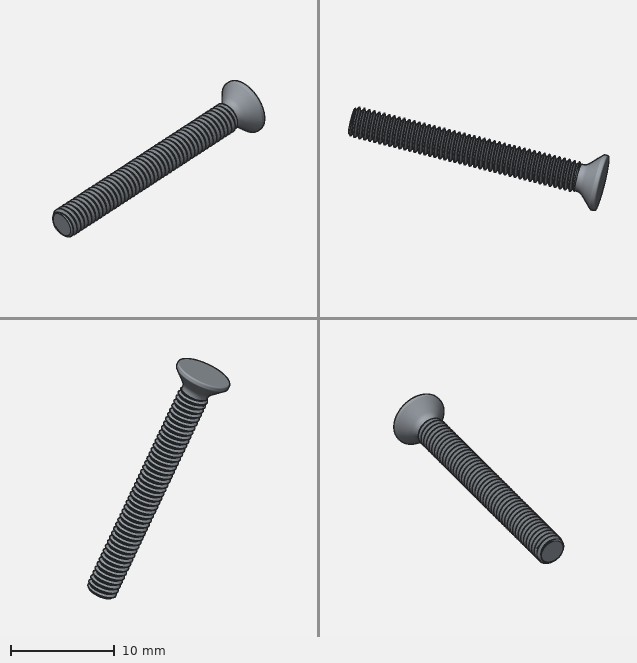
import cadquery as cq
import math


length = 25.0

head_radius = 2.75
cone_angle = math.radians(45)
rim_height = 0.45
top_fillet = 0.15
rim_fillet = 0.12

thread_radius = 1.5
root_radius = 1.2
pitch = 0.5
flank_angle = math.radians(30)
crest_flat = pitch / 8
root_overlap = 0.05
tip_radius = 1.22
bevel_reach = 0.75
turns = 47
last_crest = 25.38
first_crest = last_crest - turns * pitch

triangle_height = pitch * math.sqrt(3) / 2
neck_radius = thread_radius - 3 / 8 * triangle_height
neck_fillet = 0.85
thread_start = 2.38

cone_end = rim_height + (head_radius - neck_radius) / math.tan(cone_angle)


def head_and_neck():
    """Flat head with a rounded rim, a 45 degree cone and a filleted neck."""
    tangent = neck_fillet * math.tan(cone_angle / 2)
    cone_rise = tangent * math.sin(cone_angle)
    cone_drop = tangent * math.cos(cone_angle)
    middle_turn = cone_angle / 2
    arc_center_height = cone_end + tangent
    arc_middle = (
        neck_radius + neck_fillet * (1 - math.cos(middle_turn)),
        arc_center_height - neck_fillet * math.sin(middle_turn),
    )
    sharp_head = (
        cq.Workplane("XZ")
        .lineTo(head_radius, 0)
        .lineTo(head_radius, rim_height)
        .lineTo(neck_radius + cone_rise, cone_end - cone_drop)
        .threePointArc(arc_middle, (neck_radius, arc_center_height))
        .lineTo(neck_radius, thread_start)
        .lineTo(0, thread_start)
        .close()
        .revolve(360, (0, 0), (0, 1))
    )
    rounded_top = sharp_head.faces("<Z").edges().fillet(top_fillet)
    widest_circles = rounded_top.edges(cq.selectors.RadiusNthSelector(-1))
    return widest_circles.edges(">Z").fillet(rim_fillet)


def thread_ridge():
    """Helical ridge, longer than the thread at both ends."""
    base_radius = root_radius - root_overlap
    half_crest = crest_flat / 2
    half_base = half_crest + (thread_radius - base_radius) * math.tan(flank_angle)
    path = cq.Wire.makeHelix(pitch, turns * pitch, base_radius)
    ridge = (
        cq.Workplane("XZ")
        .moveTo(base_radius, -half_base)
        .lineTo(thread_radius, -half_crest)
        .lineTo(thread_radius, half_crest)
        .lineTo(base_radius, half_base)
        .close()
        .sweep(path, isFrenet=True)
    )
    return ridge.translate((0, 0, first_crest))


def thread_envelope():
    """Outer limit of the thread: 45 degree bevels at both ends, clear of the crests between."""
    return (
        cq.Workplane("XZ")
        .moveTo(0, thread_start)
        .lineTo(neck_radius, thread_start)
        .lineTo(neck_radius + bevel_reach, thread_start + bevel_reach)
        .lineTo(tip_radius + bevel_reach, length - bevel_reach)
        .lineTo(tip_radius, length)
        .lineTo(0, length)
        .close()
        .revolve(360, (0, 0), (0, 1))
    )


def threaded_shank():
    """Core and ridge, both left overlong and then trimmed to the envelope."""
    core_start = first_crest - pitch
    core = (
        cq.Workplane("XY")
        .workplane(offset=core_start)
        .circle(root_radius)
        .extrude(length + 2 * pitch - core_start)
    )
    threaded = core.union(thread_ridge(), clean=False)
    return threaded.intersect(thread_envelope(), clean=False)


screw = threaded_shank().union(head_and_neck(), clean=False)
result = screw.rotate((0, 0, 0), (1, 0, 0), 90)